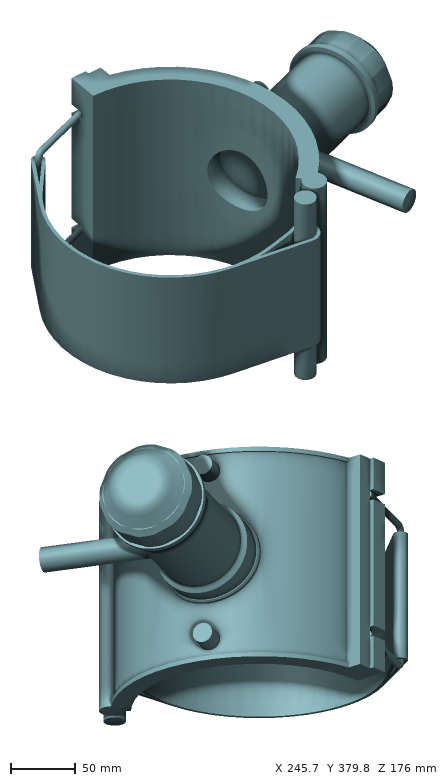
import math

import cadquery as cq

pipe_radius = 100.0
shell_radius = 114.0
shell_middle_radius = (pipe_radius + shell_radius) / 2
rim_radius = 116.0
rim_width = 3.5
saddle_height = 176.0
shell_end_angle = 20.0

bead_radius = 10.0
bead_center_radius = 115.0

lug_lip_radius = 128.0
lug_lip_length = 14.0
lug_body_radius = 124.5
lug_body_length = 26.0
notch_floor_radius = 114.5
notch_bottom = 53.0
notch_top = 61.6

strap_thickness = 3.0
strap_width = 106.0
strap_radius = pipe_radius + strap_thickness

pin_radius = 17.69 / 2
pin_center = (113.535, 17.8)
pin_loop_drop = 8.4

bail_wire_radius = 2.8
bail_x = -110.4
bail_bar_y = -19.5
bail_leg_z = 58.8
bail_bend_radius = 5.5

bore_radius = 28.0
pad_radius = 40.0
pad_chamfer = 1.2
pad_seat_radius = 118.0
neck_radius = 38.0
neck_end_y = 135.5
tube_radius = 34.0
neck_chamfer_length = 3.3
flange_radius = 40.0
flange_start_y = 232.6
flange_end_y = 237.4

cap_radius = 38.5
cap_shoulder_y = 260.2
cap_chamfer = 4.4
cap_flat_count = 8
cap_edge_radius = 14.0
cap_top_y = 276.84

outlet_radius = 10.0
outlet_y = 149.7
outlet_end_x = 125.0

terminal_base_radius = 17.69 / 2
terminal_tip_radius = 8.0
terminal_base_y = 114.0
terminal_tip_y = 130.0
terminal_z = 70.5


def polar(radius, angle, center=(0.0, 0.0)):
    """Point at a radius and angle in degrees about a center."""
    turn = math.radians(angle)
    return (center[0] + radius * math.cos(turn), center[1] + radius * math.sin(turn))


def slab(outline, height):
    """Extrude an XY outline by a height centered on Z = 0."""
    return outline.extrude(height / 2, both=True)


def ring_sector(center, inner, outer, start, end, height):
    """Part of a ring between two angles, counter-clockwise."""
    middle = (start + end) / 2
    outline = (
        cq.Workplane("XY")
        .moveTo(*polar(inner, start, center))
        .lineTo(*polar(outer, start, center))
        .threePointArc(polar(outer, middle, center), polar(outer, end, center))
        .lineTo(*polar(inner, end, center))
        .threePointArc(polar(inner, middle, center), polar(inner, start, center))
        .close()
    )
    return slab(outline, height)


def y_cylinder(radius, start_y, end_y):
    """Cylinder about the Y axis."""
    plane = cq.Workplane("XZ", origin=(0, start_y, 0))
    return plane.circle(radius).extrude(start_y - end_y)


def make_shell():
    """Half shell with a raised rim at both ends and the hinge bead."""
    ends = (shell_end_angle, 180 - shell_end_angle)
    shell = ring_sector((0, 0), pipe_radius, shell_radius, *ends, saddle_height)
    rim = ring_sector((0, 0), pipe_radius, rim_radius, *ends, rim_width)
    rim_z = (saddle_height - rim_width) / 2
    for side in (1, -1):
        shell = shell.union(rim.translate((0, 0, side * rim_z)))
    bead_center = polar(bead_center_radius, shell_end_angle)
    bead = slab(cq.Workplane("XY").center(*bead_center).circle(bead_radius), saddle_height)
    return shell.union(bead)


def make_lug():
    """Stepped lug, built on the X axis, then turned and mirrored to the -X end."""
    outline = (
        cq.Workplane("XY")
        .moveTo(shell_middle_radius, 0)
        .lineTo(lug_lip_radius, 0)
        .lineTo(lug_lip_radius, lug_lip_length)
        .lineTo(lug_body_radius, lug_lip_length)
        .lineTo(lug_body_radius, lug_body_length)
        .lineTo(shell_middle_radius, lug_body_length)
        .close()
    )
    lug = slab(outline, saddle_height)
    notch = cq.Workplane("XY").box(
        lug_lip_radius - notch_floor_radius,
        lug_lip_length,
        notch_top - notch_bottom,
        centered=(False, False, True),
    )
    notch_z = (notch_top + notch_bottom) / 2
    for side in (1, -1):
        lug = lug.cut(notch.translate((notch_floor_radius, 0, side * notch_z)))
    return lug.rotate((0, 0, 0), (0, 0, 1), shell_end_angle).mirror("YZ")


def tangent_angle(point, distance):
    """Direction of the normal of a line that passes the origin at a distance and holds a point."""
    bearing = math.degrees(math.atan2(point[1], point[0]))
    return bearing - math.degrees(math.acos(distance / math.hypot(*point)))


def straight_run(start, end, normal_angle):
    """Flat strap run with one face from start to end and its thickness along the normal."""
    offset = polar(strap_thickness, normal_angle)
    far_end = (end[0] + offset[0], end[1] + offset[1])
    far_start = (start[0] + offset[0], start[1] + offset[1])
    return slab(cq.Workplane("XY").polyline([start, end, far_end, far_start]).close(), strap_width)


def make_loop(center, inner_radius, outer_angle, inner_angle):
    """Loop on the +X side and the run from its outer side to the pipe circle."""
    radius = inner_radius + strap_thickness
    loop = ring_sector(center, inner_radius, radius, outer_angle, inner_angle + 180, strap_width)
    foot = polar(strap_radius, outer_angle)
    return loop.union(straight_run(foot, polar(radius, outer_angle, center), outer_angle + 180))


def make_strap():
    """Band round the lower pipe half with a loop at each end."""
    pin_loop_radius = pin_radius + strap_thickness
    pin_outer = tangent_angle(pin_center, strap_radius - pin_loop_radius)
    drop_start = (pin_center[0] - pin_loop_radius, pin_center[1])
    drop_end = (drop_start[0], drop_start[1] - pin_loop_drop)
    pin_inner = tangent_angle(drop_end, pipe_radius)
    pin_end = (
        make_loop(pin_center, pin_radius, pin_outer, 0)
        .union(straight_run(drop_end, drop_start, 0))
        .union(straight_run(polar(pipe_radius, pin_inner), drop_end, pin_inner))
    )

    bail_center = (-bail_x, bail_bar_y)
    bail_loop_radius = bail_wire_radius + strap_thickness
    bail_outer = tangent_angle(bail_center, strap_radius - bail_loop_radius)
    bail_inner = tangent_angle(bail_center, pipe_radius + bail_loop_radius)
    run_end = polar(bail_loop_radius, bail_inner + 180, bail_center)
    bail_end = (
        make_loop(bail_center, bail_wire_radius, bail_outer, bail_inner)
        .union(straight_run(polar(pipe_radius, bail_inner), run_end, bail_inner))
        .mirror("YZ")
    )

    start, end = 180 - bail_inner, 360 + pin_inner
    band = ring_sector((0, 0), pipe_radius, strap_radius, start, end, strap_width)
    return band.union(pin_end).union(bail_end)


def make_pin():
    """Hinge pin along Z."""
    return slab(cq.Workplane("XY").center(*pin_center).circle(pin_radius), saddle_height)


def make_bail():
    """Round wire bent to a U: two legs along Y joined by a bar along Z."""
    tilt = math.radians(shell_end_angle)
    tip_y = lug_lip_length / math.cos(tilt) - bail_x * math.tan(tilt)
    bend_y = bail_bar_y + bail_bend_radius
    bend_z = bail_leg_z - bail_bend_radius
    bend_middle = bail_bend_radius * math.sqrt(0.5)
    path = (
        cq.Workplane("YZ", origin=(bail_x, 0, 0))
        .moveTo(tip_y, bail_leg_z)
        .lineTo(bend_y, bail_leg_z)
        .threePointArc((bend_y - bend_middle, bend_z + bend_middle), (bail_bar_y, bend_z))
        .lineTo(bail_bar_y, -bend_z)
        .threePointArc((bend_y - bend_middle, -bend_z - bend_middle), (bend_y, -bail_leg_z))
        .lineTo(tip_y, -bail_leg_z)
    )
    start = cq.Workplane("XZ", origin=(bail_x, tip_y, bail_leg_z))
    return start.circle(bail_wire_radius).sweep(path)


def up_to_pad_face(body):
    """Keep what lies below the curved face of the pad."""
    return body.intersect(slab(cq.Workplane("XY").circle(pad_seat_radius), saddle_height))


def make_tower():
    """Pad, neck, tube, flange and outlet, with the pad face curved round the pipe axis."""
    pad = up_to_pad_face(y_cylinder(pad_radius, pipe_radius, pad_seat_radius))
    pad = pad.faces(">Y").edges().chamfer(pad_chamfer)
    neck = y_cylinder(neck_radius, pipe_radius, neck_end_y)
    neck_chamfer = neck_radius - tube_radius
    neck = neck.faces(">Y").chamfer(neck_chamfer_length, neck_chamfer)
    tube = y_cylinder(tube_radius, pipe_radius, flange_start_y)
    flange = y_cylinder(flange_radius, flange_start_y, flange_end_y)
    outlet = (
        cq.Workplane("YZ").center(outlet_y, 0).circle(outlet_radius).extrude(outlet_end_x)
    )
    return pad.union(neck).union(tube).union(flange).union(outlet)


def make_cap():
    """Screw cap with flats between round grip stretches and a rounded conical top."""
    chamfer_y = cap_shoulder_y + cap_chamfer
    flat_step = 360 / cap_flat_count
    flat_distance = cap_radius * math.cos(math.radians(flat_step / 4))
    corner_diameter = 2 * flat_distance / math.cos(math.radians(flat_step / 2))
    flats = (
        cq.Workplane("XZ", origin=(0, flange_end_y, 0))
        .polygon(cap_flat_count, corner_diameter)
        .extrude(flange_end_y - chamfer_y)
    )
    grip = y_cylinder(cap_radius, flange_end_y, chamfer_y).intersect(flats)
    grip = grip.faces(">Y").chamfer(cap_chamfer)
    base_radius = flat_distance - cap_chamfer
    top_radius = base_radius - (cap_top_y - chamfer_y)
    cone = (
        cq.Workplane("XY")
        .moveTo(0, chamfer_y)
        .lineTo(base_radius, chamfer_y)
        .lineTo(top_radius, cap_top_y)
        .lineTo(0, cap_top_y)
        .close()
        .revolve(360, (0, 0, 0), (0, 1, 0))
        .faces(">Y")
        .edges()
        .fillet(cap_edge_radius)
    )
    return grip.union(cone)


def make_terminal():
    """Terminal along Y that tapers from the shell to its tip."""
    return (
        cq.Workplane("XY")
        .moveTo(0, shell_middle_radius)
        .lineTo(terminal_base_radius, shell_middle_radius)
        .lineTo(terminal_base_radius, terminal_base_y)
        .lineTo(terminal_tip_radius, terminal_tip_y)
        .lineTo(0, terminal_tip_y)
        .close()
        .revolve(360, (0, 0, 0), (0, 1, 0))
    )


def make_bore():
    """Blind tapping bore that ends at the curved pad face."""
    return up_to_pad_face(y_cylinder(bore_radius, 0, pad_seat_radius))


saddle = make_shell().union(make_lug()).union(make_tower()).union(make_cap())
for side in (1, -1):
    saddle = saddle.union(make_terminal().translate((0, 0, side * terminal_z)))
saddle = saddle.cut(make_bore())

clamp = make_strap().union(make_pin()).union(make_bail())
result = saddle.union(clamp)